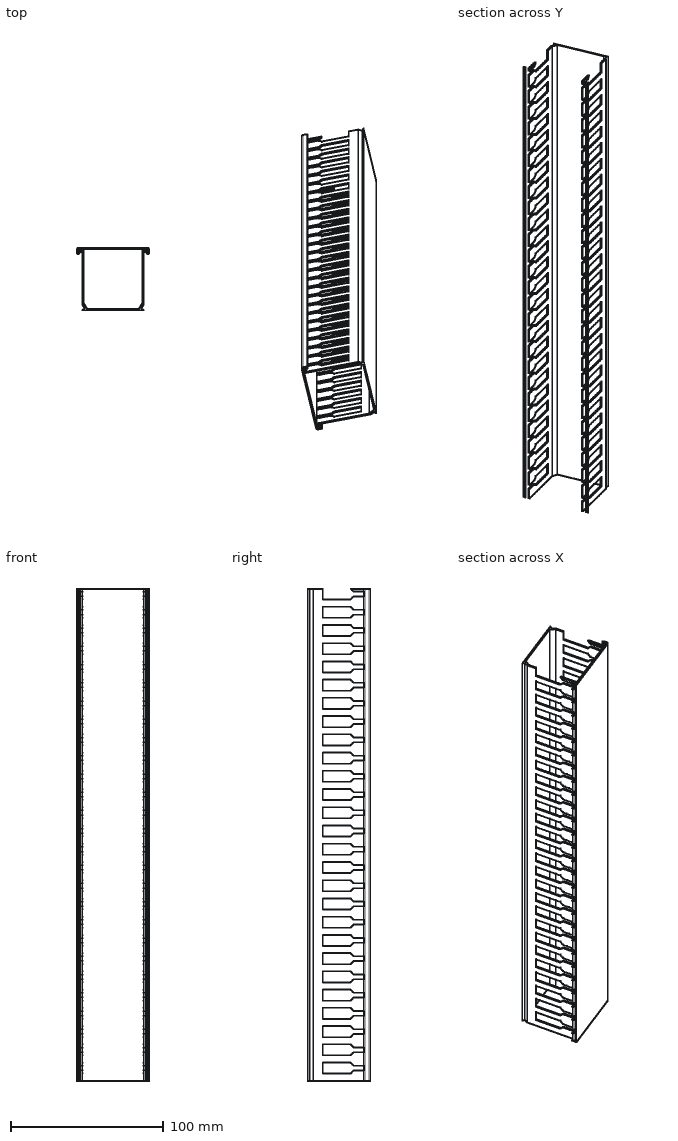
import cadquery as cq
import math

LENGTH = 323.8
COVER_WIDTH = 47.5
TOTAL_DEPTH = 41.0

DUCT_WIDTH = 40.0
WALL = 1.0
GROOVE_START = 3.5
HAUNCH_START = 4.5
GROOVE_SLOPE = math.tan(math.radians(30))

COVER_THICKNESS = 1.13
COVER_FILLET = 1.3
LEG = 1.0
LEG_DEPTH = 4.2
TIP_RADIUS = 0.8
BARB_REACH = 2.3
LIP_THICKNESS = 1.0
LIP_SLOPE = math.tan(math.radians(30))

SLOT_COUNT = 27
SLOT_PITCH = LENGTH / SLOT_COUNT
SLOT_WIDTH = 7.0
MOUTH_WIDTH = 3.0
SLIVER_THICKNESS = 1.88
SLOT_FLOOR = 10.0
MOUTH_DEPTH = 11.0
TAPER_LENGTH = 2.0

BASE_Y = -TOTAL_DEPTH / 2
TOP_Y = TOTAL_DEPTH / 2
LOWER_END = -LENGTH / 2
UPPER_END = LENGTH / 2
SLOT_FLOOR_Y = BASE_Y + SLOT_FLOOR
LAST_SLOT_Z = UPPER_END - SLIVER_THICKNESS - MOUTH_WIDTH / 2
LIP_TOP_Y = TOP_Y - COVER_THICKNESS
WALL_X = DUCT_WIDTH / 2
INNER_WALL_X = WALL_X - WALL
COVER_X = COVER_WIDTH / 2
LEG_INNER_X = COVER_X - LEG
BARB_X = COVER_X - BARB_REACH
TIP_Y = TOP_Y - LEG_DEPTH
SIDES = (-1, 1)


def lip_top(x):
    """Y of the upper face of the lip, which drops away from the wall."""
    return LIP_TOP_Y - (x - WALL_X) * LIP_SLOPE


def lip_underside(x):
    """Y of the underside of the lip, parallel to its upper face."""
    return lip_top(x) - LIP_THICKNESS


def mirrored_outline(right_half):
    """Closed outline from the points of its +X half and their mirror images."""
    left_half = [(-x, y) for x, y in reversed(right_half)]
    return cq.Workplane("XY", origin=(0, 0, LOWER_END)).polyline(right_half + left_half).close()


def duct_channel():
    groove_depth = GROOVE_START * GROOVE_SLOPE / (1 + GROOVE_SLOPE)
    haunch = (HAUNCH_START - WALL) * GROOVE_SLOPE
    right_half = [
        (WALL_X, BASE_Y),
        (WALL_X - groove_depth, BASE_Y + groove_depth),
        (WALL_X, BASE_Y + GROOVE_START),
        (WALL_X, lip_underside(WALL_X)),
        (LEG_INNER_X, lip_underside(LEG_INNER_X)),
        (LEG_INNER_X, lip_top(LEG_INNER_X)),
        (WALL_X, LIP_TOP_Y),
        (INNER_WALL_X, LIP_TOP_Y),
        (INNER_WALL_X, BASE_Y + HAUNCH_START),
        (INNER_WALL_X - haunch, BASE_Y + WALL),
    ]
    return mirrored_outline(right_half).extrude(LENGTH)


def comb_slot(centre_z):
    """Cutter through both walls: a narrow mouth that tapers out to a wide slot."""
    mouth = MOUTH_WIDTH / 2
    slot = SLOT_WIDTH / 2
    mouth_y = TOP_Y - MOUTH_DEPTH
    taper_y = mouth_y - TAPER_LENGTH
    outline = [
        (SLOT_FLOOR_Y, -slot),
        (taper_y, -slot),
        (mouth_y, -mouth),
        (TOP_Y, -mouth),
        (TOP_Y, mouth),
        (mouth_y, mouth),
        (taper_y, slot),
        (SLOT_FLOOR_Y, slot),
    ]
    plane = cq.Workplane("YZ", origin=(0, 0, centre_z))
    return plane.polyline(outline).close().extrude(COVER_X, both=True)


def slotted_channel():
    channel = duct_channel()
    for i in range(SLOT_COUNT):
        channel = channel.cut(comb_slot(LAST_SLOT_Z - i * SLOT_PITCH))
    return channel


def end_block(side):
    """Space above the middle of the last slot on one side (+1 or -1), where only a sliver is left."""
    depth = TOP_Y - SLOT_FLOOR_Y
    height = UPPER_END - LAST_SLOT_Z
    centre = (side * COVER_X / 2, SLOT_FLOOR_Y + depth / 2, LAST_SLOT_Z + height / 2)
    return cq.Workplane("XY", origin=centre).box(COVER_X, depth, height)


def slotted_duct(channel):
    """The channel without the two pieces that the last slot cuts free."""
    for side in SIDES:
        channel = channel.cut(end_block(side))
    return channel


def finger_sliver(channel, side):
    """Loose piece of finger beyond the last slot on one side."""
    return channel.intersect(end_block(side))


def snap_cover():
    """Plate over the duct, with a barbed leg on each side that hooks under the lip."""
    tip_inner_x = COVER_X - 2 * TIP_RADIUS
    tip_start_y = TIP_Y + TIP_RADIUS
    barb_low_y = tip_start_y + (tip_inner_x - BARB_X) * LIP_SLOPE
    right_half = (
        cq.Workplane("XY", origin=(0, 0, LOWER_END))
        .moveTo(0, LIP_TOP_Y)
        .lineTo(LEG_INNER_X, LIP_TOP_Y)
        .lineTo(LEG_INNER_X, lip_underside(LEG_INNER_X))
        .lineTo(BARB_X, lip_underside(BARB_X))
        .lineTo(BARB_X, barb_low_y)
        .lineTo(tip_inner_x, tip_start_y)
        .threePointArc((COVER_X - TIP_RADIUS, TIP_Y), (COVER_X, tip_start_y))
        .lineTo(COVER_X, TOP_Y)
        .lineTo(0, TOP_Y)
        .close()
        .extrude(LENGTH)
        .edges("|Z")
        .edges(">(1, 1, 0)")
        .fillet(COVER_FILLET)
    )
    return right_half.union(right_half.mirror("YZ"))


channel = slotted_channel()
duct = slotted_duct(channel)
slivers = [finger_sliver(channel, side).solids().val() for side in SIDES]
cover = snap_cover()
result = cq.Compound.makeCompound([duct.solids().val(), *slivers, cover.solids().val()])